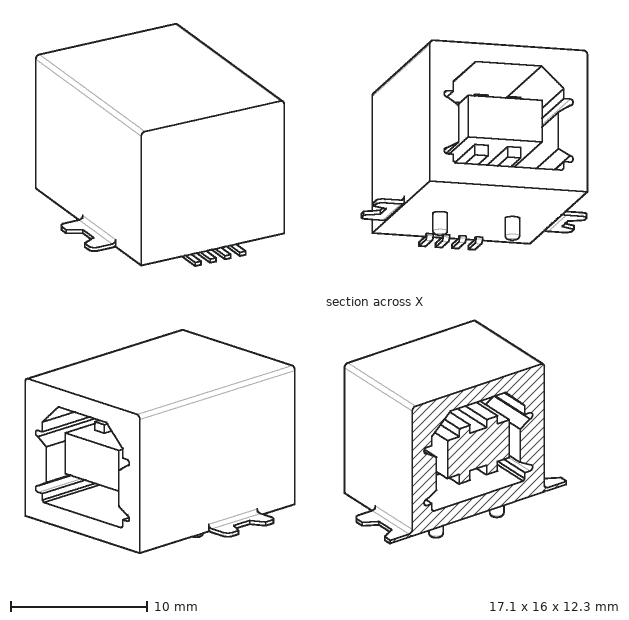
import cadquery as cq
import math


overall_length = 17.15
overall_width = 16.0
overall_height = 12.28
housing_length = 15.98
housing_width = 12.0
housing_height = 10.7
housing_top_radius = 0.31

cavity_depth = 12.0
cavity_top = 9.3
cavity_bottom = 1.51
cavity_roof_half_width = 2.5
cavity_half_width = 4.2
cavity_shoulder_z = 7.7
cavity_floor_chamfer = 0.15
neck_half_width = 3.79
neck_top = 5.88
neck_bottom = 3.12
ear_radius = 0.24
ear_tip_half_width = 4.9
upper_ear_z = 6.7
lower_ear_z = 2.4

tongue_setback = 1.0
tongue_width = 5.63
tongue_top = 6.96
tongue_bottom = 3.8
contact_setback = 3.0
contact_width = 1.0
contact_pitch = 2.49
contact_top = 7.61
contact_bottom = 3.02

sheet_thickness = 0.3
tab_center_x = 9.6
tab_width = 5.0
tab_corner_radius = 0.5
tab_notch_mouth_width = 2.78
tab_notch_floor_width = 1.61
tab_notch_depth = 1.08

peg_x = 9.0
peg_spacing = 5.5
peg_diameter = 1.06
peg_tip_radius = 0.25
peg_length = overall_height - housing_height

pin_count = 4
pin_pitch = 1.25
pin_width = 0.5
pin_thickness = 0.3
pin_back_x = 14.99
pin_bottom_z = -0.43

embed = 0.17


def make_housing():
    housing = cq.Workplane("XY").box(
        housing_length, housing_width, housing_height, centered=(False, True, False)
    )
    return housing.edges("|X and >Z").fillet(housing_top_radius)


def make_cavity():
    ear_center_y = ear_tip_half_width - ear_radius
    half = (
        cq.Workplane("YZ")
        .moveTo(0, cavity_top)
        .lineTo(cavity_roof_half_width, cavity_top)
        .lineTo(cavity_half_width, cavity_shoulder_z)
        .lineTo(cavity_half_width, upper_ear_z + ear_radius)
        .lineTo(ear_center_y, upper_ear_z + ear_radius)
        .threePointArc((ear_tip_half_width, upper_ear_z), (ear_center_y, upper_ear_z - ear_radius))
        .lineTo(neck_half_width, neck_top)
        .lineTo(neck_half_width, neck_bottom)
        .lineTo(ear_center_y, lower_ear_z + ear_radius)
        .threePointArc((ear_tip_half_width, lower_ear_z), (ear_center_y, lower_ear_z - ear_radius))
        .lineTo(cavity_half_width, lower_ear_z - ear_radius)
        .lineTo(cavity_half_width, cavity_bottom + cavity_floor_chamfer)
        .lineTo(cavity_half_width - cavity_floor_chamfer, cavity_bottom)
        .lineTo(0, cavity_bottom)
        .close()
        .extrude(cavity_depth)
    )
    return half.union(half.mirror("XZ"))


def make_bar(start_x, center_y, width, bottom, top):
    """Rectangular bar running along X from start_x into the back wall of the cavity."""
    length = cavity_depth + embed - start_x
    bar = cq.Workplane("XY").box(length, width, top - bottom, centered=(False, True, False))
    return bar.translate((start_x, center_y, bottom))


def make_tongue():
    tongue = make_bar(tongue_setback, 0, tongue_width, tongue_bottom, tongue_top)
    for side in (-1, 1):
        contact_y = side * contact_pitch / 2
        tongue = tongue.union(
            make_bar(contact_setback, contact_y, contact_width, contact_bottom, contact_top)
        )
    return tongue


def make_tab():
    """Solder tab on the +Y side: a bent strip with rounded tips and a tapered notch."""
    wall = housing_width / 2
    tip = overall_width / 2
    inner_radius = sheet_thickness
    outer_radius = inner_radius + sheet_thickness
    bend_y = wall + inner_radius
    bend_z = outer_radius
    diagonal = math.sqrt(0.5)
    strip = (
        cq.Workplane("YZ")
        .moveTo(tip, 0)
        .lineTo(bend_y, 0)
        .threePointArc(
            (bend_y - outer_radius * diagonal, bend_z - outer_radius * diagonal),
            (bend_y - outer_radius, bend_z),
        )
        .lineTo(wall, bend_z)
        .threePointArc(
            (bend_y - inner_radius * diagonal, bend_z - inner_radius * diagonal),
            (bend_y, sheet_thickness),
        )
        .lineTo(tip, sheet_thickness)
        .close()
        .extrude(tab_width / 2, both=True)
        .edges("|Z and >Y")
        .fillet(tab_corner_radius)
    )
    notch_floor = tip - tab_notch_depth
    notch = (
        cq.Workplane("XY")
        .polyline([
            (-tab_notch_mouth_width / 2, tip),
            (-tab_notch_floor_width / 2, notch_floor),
            (tab_notch_floor_width / 2, notch_floor),
            (tab_notch_mouth_width / 2, tip),
        ])
        .close()
        .extrude(sheet_thickness)
    )
    return strip.cut(notch).translate((tab_center_x, 0, 0))


def make_peg(center_y):
    peg = (
        cq.Workplane("XY")
        .circle(peg_diameter / 2)
        .extrude(peg_length + embed)
        .faces("<Z")
        .edges()
        .fillet(peg_tip_radius)
    )
    return peg.translate((peg_x, center_y, -peg_length))


def make_pin(center_y):
    """Pin that drops from the housing and bends toward +X, with a rounded heel and a sharp inner corner."""
    heel_x = pin_back_x + pin_thickness
    foot_top = pin_bottom_z + pin_thickness
    diagonal = pin_thickness * math.sqrt(0.5)
    pin = (
        cq.Workplane("XZ")
        .moveTo(pin_back_x, embed)
        .lineTo(pin_back_x, foot_top)
        .threePointArc((heel_x - diagonal, foot_top - diagonal), (heel_x, pin_bottom_z))
        .lineTo(overall_length, pin_bottom_z)
        .lineTo(overall_length, foot_top)
        .lineTo(heel_x, foot_top)
        .lineTo(heel_x, embed)
        .close()
        .extrude(pin_width / 2, both=True)
    )
    return pin.translate((0, center_y, 0))


result = make_housing().cut(make_cavity()).union(make_tongue())

tab = make_tab()
result = result.union(tab).union(tab.mirror("XZ"))

for side in (-1, 1):
    result = result.union(make_peg(side * peg_spacing / 2))

for index in range(pin_count):
    result = result.union(make_pin((index - (pin_count - 1) / 2) * pin_pitch))